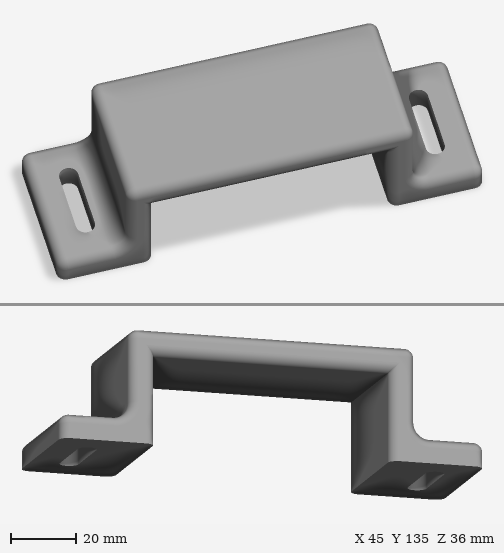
import cadquery as cq

length = 135.0
width = 45.0
height = 36.0

wall = 8.0
bridge_length = 91.0
opening_length = bridge_length - 2 * wall
opening_height = height - wall

edge_radius = 3.0
foot_corner_radius = 5.0

slot_length = 25.0
slot_width = 6.0
slot_end_margin = 12.0
slot_offset = length / 2 - slot_end_margin

selection_margin = edge_radius / 4


def centred_block(block_length, block_height):
    """Full-width block standing on Z = 0."""
    return cq.Workplane("XY").box(width, block_length, block_height, centered=(True, True, False))


def region(y_min, y_max, z_min, z_max):
    """Selector for everything centred in a Y-Z range, enlarged by the margin."""
    return cq.selectors.BoxSelector(
        (-width, y_min - selection_margin, z_min - selection_margin),
        (width, y_max + selection_margin, z_max + selection_margin),
    )


def outer_body():
    """Solid hat-shaped body with rounded outer edges and a sharp base."""
    body = centred_block(length, wall).union(centred_block(bridge_length, height))
    for leg_face in (-bridge_length / 2, bridge_length / 2):
        foot_corner = region(leg_face, leg_face, wall, wall)
        body = body.edges("|X").edges(foot_corner).fillet(foot_corner_radius)
    exposed_faces = body.faces("<X or >X or <Y or >Y or >Z")
    return exposed_faces.edges("not <Z").fillet(edge_radius)


def round_mouths(body):
    """Round the opening's edges on both side faces, leaving the base sharp."""
    half_opening = opening_length / 2
    mouth = region(-half_opening, half_opening, 2 * selection_margin, opening_height)
    return body.faces("<X or >X").edges(mouth).fillet(edge_radius)


def slots():
    """Round-ended slot cutters through both feet."""
    centres = [(0, -slot_offset), (0, slot_offset)]
    return cq.Workplane("XY").pushPoints(centres).slot2D(slot_length, slot_width).extrude(wall)


opening = centred_block(opening_length, opening_height)
result = round_mouths(outer_body().cut(opening)).cut(slots())